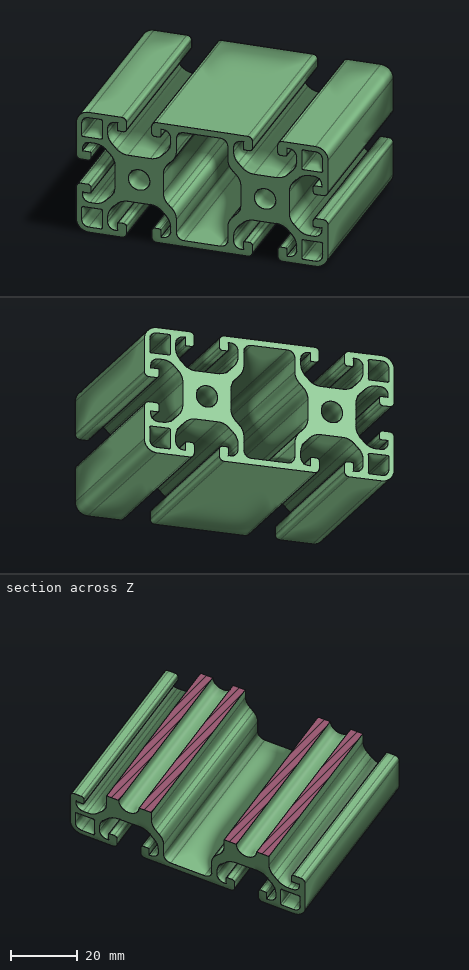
import cadquery as cq

CELL = 40.0
CELL_COUNT = 2
WIDTH = CELL * CELL_COUNT
LENGTH = 60.0
CORNER_RADIUS = 4.0

MOUTH_HALF_WIDTH = 4.0
LIP_WIDTH = 2.9
LIP_DEPTH = 4.7
FLANGE_THICKNESS = 2.0
UNDERCUT_HALF_WIDTH = 10.0
UNDERCUT_RADIUS = 2.5
CORE_HALF_WIDTH = 7.7
BEND_RADIUS = 5.0
SLOT_DIAGONAL = 17.9
LIP_OUTER_RADIUS = 1.5
LIP_TIP_RADIUS = 1.0
LIP_HOOK_RADIUS = 0.4

BORE_DIAMETER = 6.8
BOX_WALL = 1.8
BOX_SIZE = 6.6
BOX_OUTER_RADIUS = 2.2
BOX_INNER_RADIUS = 0.5
CHAMBER_HALF_WIDTH = 8.2
CHAMBER_CORNER_RADIUS = 2.4
CHAMBER_DIAGONAL = 17.4

SLOT_DEPTH = CELL / 2 - CORE_HALF_WIDTH
CELL_CENTERS = [CELL * (i - (CELL_COUNT - 1) / 2) for i in range(CELL_COUNT)]
TOLERANCE = 0.01


def extrude_outline(points):
    """Extrude a closed XZ outline over the full length, centred on Y."""
    return cq.Workplane("XZ").polyline(points).close().extrude(LENGTH / 2, both=True)


def mirrored_in_x(half):
    """Complete an outline whose listed half lies on the +X side."""
    return half + [(-x, z) for x, z in reversed(half)]


def fillet_at(body, points, radius):
    """Round the lengthwise edges passing through the given XZ points."""
    for x, z in points:
        low = (x - TOLERANCE, -LENGTH, z - TOLERANCE)
        high = (x + TOLERANCE, LENGTH, z + TOLERANCE)
        body = body.edges(cq.selectors.BoxSelector(low, high, boundingbox=True)).fillet(radius)
    return body


def both_sides(point):
    """Return an XZ point together with its mirror image across X = 0."""
    x, z = point
    return [(x, z), (-x, z)]


def make_slot():
    """Slot void opening upward, with the outer face at Z = 0 and its axis at X = 0."""
    hook = MOUTH_HALF_WIDTH + LIP_WIDTH
    mouth_top = (MOUTH_HALF_WIDTH, 0)
    lip_tip = (MOUTH_HALF_WIDTH, -LIP_DEPTH)
    lip_hook = (hook, -LIP_DEPTH)
    hook_root = (hook, -FLANGE_THICKNESS)
    undercut = (UNDERCUT_HALF_WIDTH, -FLANGE_THICKNESS)
    wall_bend = (UNDERCUT_HALF_WIDTH, UNDERCUT_HALF_WIDTH - SLOT_DIAGONAL)
    floor_bend = (SLOT_DIAGONAL - SLOT_DEPTH, -SLOT_DEPTH)
    half = [mouth_top, lip_tip, lip_hook, hook_root, undercut, wall_bend, floor_bend]
    slot = extrude_outline(mirrored_in_x(half))
    slot = fillet_at(slot, both_sides(lip_tip), LIP_TIP_RADIUS)
    slot = fillet_at(slot, both_sides(lip_hook), LIP_HOOK_RADIUS)
    slot = fillet_at(slot, both_sides(undercut), UNDERCUT_RADIUS)
    slot = fillet_at(slot, both_sides(wall_bend), BEND_RADIUS)
    return fillet_at(slot, both_sides(floor_bend), BEND_RADIUS)


def make_chamber():
    """Central hollow between the two cells, widened around its mid height."""
    half_height = CELL / 2 - FLANGE_THICKNESS
    belly = CELL / 2 - CORE_HALF_WIDTH
    corner = (CHAMBER_HALF_WIDTH, half_height)
    wall_bend = (CHAMBER_HALF_WIDTH, CHAMBER_DIAGONAL - CHAMBER_HALF_WIDTH)
    belly_bend = (belly, CHAMBER_DIAGONAL - belly)
    upper = [corner, wall_bend, belly_bend]
    right_side = upper + [(x, -z) for x, z in reversed(upper)]
    chamber = extrude_outline(mirrored_in_x(right_side))
    for x, z in upper:
        radius = CHAMBER_CORNER_RADIUS if (x, z) == corner else BEND_RADIUS
        chamber = fillet_at(chamber, both_sides((x, z)) + both_sides((x, -z)), radius)
    return chamber


def make_corner_box():
    """Square hollow behind the upper right outer corner."""
    outer_x = WIDTH / 2 - BOX_WALL
    outer_z = CELL / 2 - BOX_WALL
    inner_x = outer_x - BOX_SIZE
    inner_z = outer_z - BOX_SIZE
    outer = (outer_x, outer_z)
    others = [(inner_x, outer_z), (inner_x, inner_z), (outer_x, inner_z)]
    box = extrude_outline([outer] + others)
    box = fillet_at(box, [outer], BOX_OUTER_RADIUS)
    return fillet_at(box, others, BOX_INNER_RADIUS)


profile = cq.Workplane("XY").box(WIDTH, LENGTH, CELL).edges("|Y").fillet(CORNER_RADIUS)

slot = make_slot()
top_slot = slot.translate((0, 0, CELL / 2))
lip_edges = []
for center in CELL_CENTERS:
    profile = profile.cut(top_slot.translate((center, 0, 0)))
    profile = profile.cut(top_slot.rotate((0, 0, 0), (0, 1, 0), 180).translate((center, 0, 0)))
    for side in (-1, 1):
        lip_edges += [(center + side * MOUTH_HALF_WIDTH, z) for z in (-CELL / 2, CELL / 2)]
for side in (-1, 1):
    turned = top_slot.rotate((0, 0, 0), (0, 1, 0), side * 90)
    profile = profile.cut(turned.translate((side * (WIDTH - CELL) / 2, 0, 0)))
    lip_edges += [(side * WIDTH / 2, z) for z in (-MOUTH_HALF_WIDTH, MOUTH_HALF_WIDTH)]
profile = fillet_at(profile, lip_edges, LIP_OUTER_RADIUS)

profile = profile.cut(make_chamber())
corner_box = make_corner_box()
right_boxes = corner_box.union(corner_box.mirror("XY"))
profile = profile.cut(right_boxes).cut(right_boxes.mirror("YZ"))
for center in CELL_CENTERS:
    bore = cq.Workplane("XZ").center(center, 0).circle(BORE_DIAMETER / 2)
    profile = profile.cut(bore.extrude(LENGTH / 2, both=True))

result = profile